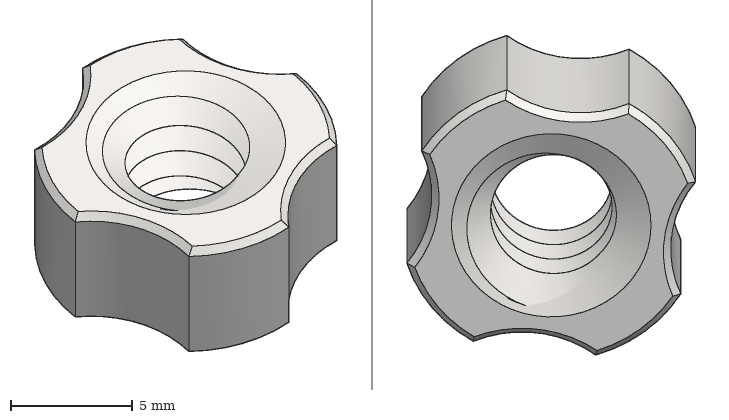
import cadquery as cq
import math

outer_radius = 6.24
height = 6.25
scallop_count = 4
scallop_radius = 5.0
scallop_center_distance = 2 * scallop_radius
edge_chamfer = 0.3

minor_radius = 2.51
pitch = 1.5
thread_depth = pitch * math.cos(math.radians(30))
root_radius = minor_radius + thread_depth
crest_flat = 0.01
cutter_overlap = 0.12
cut_tolerance = 0.001

lead_in_radius = 4.12
lead_in_slope = 20.0
lead_in_depth = (lead_in_radius - minor_radius) * math.tan(math.radians(lead_in_slope))


def make_body():
    """Scalloped disc standing on Z = 0, chamfered around both ends."""
    disc = cq.Workplane("XY").circle(outer_radius).extrude(height)
    scallops = (
        cq.Workplane("XY")
        .polarArray(scallop_center_distance, 180 / scallop_count, 360, scallop_count)
        .circle(scallop_radius)
        .extrude(height)
    )
    return disc.cut(scallops).faces("<Z or >Z").edges().chamfer(edge_chamfer)


def make_bore():
    """Revolved hole at the minor radius, flared at both ends."""
    return (
        cq.Workplane("XZ")
        .polyline([
            (0, 0),
            (lead_in_radius, 0),
            (minor_radius, lead_in_depth),
            (minor_radius, height - lead_in_depth),
            (lead_in_radius, height),
            (0, height),
        ])
        .close()
        .revolve(360, (0, 0, 0), (0, 1, 0))
    )


def make_thread_groove():
    """Helical V groove whose root reaches the top face in the +X direction."""
    turns_below_top = math.ceil(height / pitch)
    start_z = height - turns_below_top * pitch
    helix_height = (turns_below_top + 1) * pitch
    inner_radius = minor_radius - cutter_overlap
    half_width = (pitch - crest_flat) / 2

    helix = cq.Wire.makeHelix(pitch, helix_height, root_radius, cq.Vector(0, 0, start_z))
    return (
        cq.Workplane("XZ")
        .polyline([
            (inner_radius, start_z - half_width),
            (minor_radius, start_z - half_width),
            (root_radius, start_z),
            (minor_radius, start_z + half_width),
            (inner_radius, start_z + half_width),
        ])
        .close()
        .sweep(cq.Workplane(obj=helix), isFrenet=True)
    )


drilled_body = make_body().cut(make_bore())
result = drilled_body.cut(make_thread_groove(), tol=cut_tolerance)